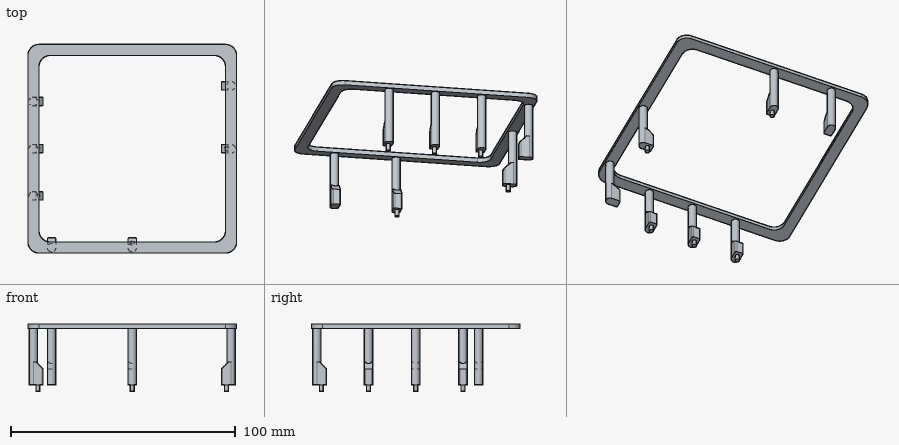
import cadquery as cq

frame_size = 93.0
frame_thickness = 2.0
rail_width = 5.0
corner_radius = 5.0

post_diameter = 3.8
post_length = 25.0
post_offset = (frame_size - rail_width) / 2

pin_diameter = 1.9
pin_length = 3.0
pin_spacing = 84.0
pin_inset = post_offset - pin_spacing / 2

clip_reach = 4.4
clip_height = 10.0
clip_slope = 3.1
clip_edge_radius = 0.6

side_post_spacing = 21.0
right_end_post = 28.0
front_end_post = -35.9
left_rail_turn = 0
front_rail_turn = 90
right_rail_turn = 180

post_bottom = -post_length


def make_frame():
    """Flat square ring with rounded outer and inner corners."""
    opening_size = frame_size - 2 * rail_width
    outer = (
        cq.Workplane("XY")
        .rect(frame_size, frame_size)
        .extrude(frame_thickness)
        .edges("|Z")
        .fillet(corner_radius)
    )
    opening = (
        cq.Workplane("XY")
        .rect(opening_size, opening_size)
        .extrude(frame_thickness)
        .edges("|Z")
        .fillet(corner_radius)
    )
    return outer.cut(opening)


def make_clip():
    """Block from the post axis towards +X, rounded at the tip, with a 45 degree lead-in."""
    block = (
        cq.Workplane("XY", origin=(0, 0, post_bottom))
        .rect(2 * clip_reach, post_diameter)
        .extrude(clip_height)
        .edges("|Z")
        .fillet(clip_edge_radius)
    )
    clip_top = post_bottom + clip_height
    profile = (
        cq.Workplane("XZ")
        .moveTo(0, post_bottom)
        .lineTo(clip_reach, post_bottom)
        .lineTo(clip_reach, clip_top - clip_slope)
        .lineTo(clip_reach - clip_slope, clip_top)
        .lineTo(0, clip_top)
        .close()
        .extrude(post_diameter / 2, both=True)
    )
    return block.intersect(profile)


def make_post(has_pin):
    """Post on the Z axis with its clip, and a pin if wanted, towards +X."""
    post = cq.Workplane("XY").circle(post_diameter / 2).extrude(post_bottom)
    post = post.union(make_clip())
    if has_pin:
        pin = (
            cq.Workplane("XY", origin=(pin_inset, 0, post_bottom))
            .circle(pin_diameter / 2)
            .extrude(-pin_length)
        )
        post = post.union(pin)
    return post


def place_post(x, y, turn, has_pin):
    return make_post(has_pin).rotate((0, 0, 0), (0, 0, 1), turn).translate((x, y, 0))


posts = []
for y in (-side_post_spacing, 0, side_post_spacing):
    posts.append(place_post(-post_offset, y, left_rail_turn, True))
for y, has_pin in ((0, True), (right_end_post, False)):
    posts.append(place_post(post_offset, y, right_rail_turn, has_pin))
for x, has_pin in ((0, True), (front_end_post, False)):
    posts.append(place_post(x, -post_offset, front_rail_turn, has_pin))

result = make_frame()
for post in posts:
    result = result.union(post)